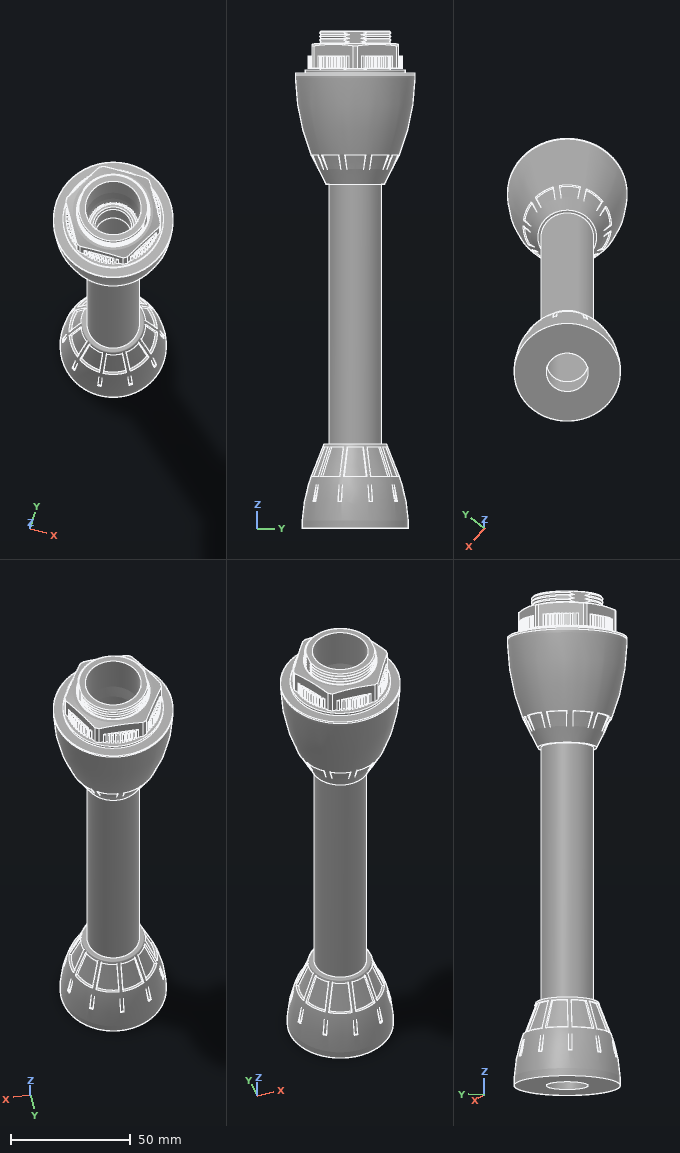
import cadquery as cq
import math

BASE_RIM_TOP = 3.1
BASE_NOTCH_BOTTOM = 11.2
BASE_NOTCH_TOP = 18.7
BASE_SHOULDER = 21.5
BASE_PANEL_TOP = 34.0
BASE_TOP = 35.3
DOME_BOTTOM = 143.6
DOME_PANEL_BOTTOM = 149.8
DOME_SHOULDER = 155.9
NIPPLE_BOTTOM = 161.9
TUBE_TOP = 178.5
DOME_RIM_BOTTOM = 187.8
DOME_TOP = 189.3
FLANGE_TOP = 190.1
WASHER_TOP = 191.4
NUT_BOTTOM = 192.0
GRIP_TOP = 197.2
NUT_TOP = 202.4
TOTAL_HEIGHT = 207.5

OVERCUT = 2.0

TUBE_RADIUS = 11.0
TUBE_BORE = 8.7
TUBE_BOTTOM = 10.4
FERRULE_BORE = 7.7
FERRULE_DEPTH = 12.5
FERRULE_LIP_RADIUS = 9.8
FERRULE_LIP_HEIGHT = 1.2
FERRULE_CHAMFER = 0.8

BASE_RADIUS = 22.2
BASE_MID_RADIUS = 21.0
BASE_MID_HEIGHT = 12.9
BASE_SHOULDER_RADIUS = 18.5
BASE_TOP_RADIUS = 13.0
BASE_TOP_FILLET = 0.6
BASE_RIB_WIDTH = 1.7
BASE_PANEL_DEPTHS = (1.0, 0.8)
BASE_NOTCH_WIDTH = 1.5
BASE_NOTCH_BOTTOM_RADIUS = 20.8
BASE_NOTCH_TOP_RADIUS = 19.5

FLANGE_DIAMETER = 50.0
FLANGE_RADIUS = FLANGE_DIAMETER / 2
DOME_MID_RADIUS = 23.2
DOME_MID_HEIGHT = 171.8
DOME_SHOULDER_RADIUS = 18.5
DOME_BOTTOM_RADIUS = 12.2
DOME_RIB_WIDTH = 2.7
DOME_PANEL_DEPTHS = (0, 0.6)

RIB_COUNT = 10
RIB_PITCH = 360 / RIB_COUNT
FIRST_RIB_ANGLE = 90

THREAD_RADIUS = 15.0
THREAD_ROOT_RADIUS = 14.3
THREAD_PITCH = 1.5
THREAD_FLAT = 14.1
NIPPLE_BARREL_RADIUS = 16.5
NIPPLE_BORE = 11.6
NIPPLE_THROAT = 10.5
NIPPLE_THROAT_TOP = 184.7

WASHER_RADIUS = 21.0

NUT_ACROSS_FLATS = 36.1
NUT_CORNER_DISTANCE = 20.3
NUT_CHAMFER_RADIUS = 16.8
NUT_CHAMFER_ANGLE = 15
NUT_BORE_CHAMFER = 0.5
NUT_SIDES = 6
GRIP_RADIUS = 19.7
GRIP_WIDTH = 15.0
PAD_ANGLE = 90
GROOVE_PITCH = 4.5
GROOVES_PER_SIDE = 9
GROOVE_WIDTH = 0.8
GROOVE_FLOOR = 18.7


def cylinder(radius, bottom, top):
    """Round bar on the Z axis between two levels."""
    return cq.Workplane("XY").workplane(offset=bottom).circle(radius).extrude(top - bottom)


def revolve(profile):
    """Turn a closed profile, drawn as (radius, height), about the Z axis."""
    return profile.close().revolve(360, (0, 0, 0), (0, 1, 0))


def radial_bar(inner, outer, width, bottom, top, angle):
    """Upright bar from one radius to another in the direction of an angle."""
    bar = cq.Workplane("XY").box(outer - inner, width, top - bottom, centered=(False, True, False))
    return bar.translate((inner, 0, bottom)).rotate((0, 0, 0), (0, 0, 1), angle)


def rib_angles():
    return [FIRST_RIB_ANGLE + RIB_PITCH * index for index in range(RIB_COUNT)]


def panel_recess(lower, upper, depths, rib_width):
    """Band under a conical face, from its lower to its upper (radius, height), broken by the ribs.

    The two depths apply at the lower and the upper end.
    """
    (lower_radius, bottom), (upper_radius, top) = lower, upper
    outer = max(lower_radius, upper_radius) + OVERCUT
    band = revolve(
        cq.Workplane("XZ")
        .moveTo(lower_radius - depths[0], bottom)
        .lineTo(outer, bottom)
        .lineTo(outer, top)
        .lineTo(upper_radius - depths[1], top)
    )
    for angle in rib_angles():
        band = band.cut(radial_bar(0, outer + OVERCUT, rib_width, bottom, top, angle))
    return band


def radius_on_line(start, end, height):
    """Radius of a conical face at a height, from its (radius, height) ends."""
    share = (height - start[1]) / (end[1] - start[1])
    return start[0] + share * (end[0] - start[0])


def make_base_notch():
    """Cutter along +X for a shallow notch whose sloping floor runs out through the curved wall."""
    outer = BASE_RADIUS + OVERCUT
    return (
        cq.Workplane("XZ")
        .moveTo(BASE_NOTCH_BOTTOM_RADIUS, BASE_NOTCH_BOTTOM)
        .lineTo(outer, BASE_NOTCH_BOTTOM)
        .lineTo(outer, BASE_NOTCH_TOP)
        .lineTo(BASE_NOTCH_TOP_RADIUS, BASE_NOTCH_TOP)
        .close()
        .extrude(BASE_NOTCH_WIDTH / 2, both=True)
    )


def make_base_cap():
    shoulder = (BASE_SHOULDER_RADIUS, BASE_SHOULDER)
    rim = (BASE_TOP_RADIUS, BASE_TOP)
    cap = revolve(
        cq.Workplane("XZ")
        .lineTo(BASE_RADIUS, 0)
        .lineTo(BASE_RADIUS, BASE_RIM_TOP)
        .threePointArc((BASE_MID_RADIUS, BASE_MID_HEIGHT), shoulder)
        .lineTo(*rim)
        .lineTo(0, BASE_TOP)
    )
    cap = cap.faces(">Z").edges().fillet(BASE_TOP_FILLET)
    cap = cap.cut(cylinder(TUBE_BORE, 0, BASE_TOP))
    cap = cap.cut(cylinder(TUBE_RADIUS, TUBE_BOTTOM, BASE_TOP))
    panel_end = (radius_on_line(shoulder, rim, BASE_PANEL_TOP), BASE_PANEL_TOP)
    cap = cap.cut(panel_recess(shoulder, panel_end, BASE_PANEL_DEPTHS, BASE_RIB_WIDTH))
    notch = make_base_notch()
    for angle in rib_angles():
        cap = cap.cut(notch.rotate((0, 0, 0), (0, 0, 1), angle))
    return cap


def make_tube():
    return cylinder(TUBE_RADIUS, TUBE_BOTTOM, TUBE_TOP).cut(cylinder(TUBE_BORE, TUBE_BOTTOM, TUBE_TOP))


def make_ferrule():
    lip_top = TUBE_TOP + FERRULE_LIP_HEIGHT
    sleeve = cylinder(TUBE_BORE, TUBE_TOP - FERRULE_DEPTH, TUBE_TOP)
    lip = cylinder(FERRULE_LIP_RADIUS, TUBE_TOP, lip_top)
    ferrule = sleeve.union(lip).cut(cylinder(FERRULE_BORE, TUBE_TOP - FERRULE_DEPTH, lip_top))
    mouth = ferrule.faces(">Z").edges(cq.selectors.RadiusNthSelector(0))
    return mouth.chamfer(FERRULE_CHAMFER)


def make_dome_cap():
    bottom = (DOME_BOTTOM_RADIUS, DOME_BOTTOM)
    shoulder = (DOME_SHOULDER_RADIUS, DOME_SHOULDER)
    cap = revolve(
        cq.Workplane("XZ")
        .moveTo(0, DOME_BOTTOM)
        .lineTo(*bottom)
        .lineTo(*shoulder)
        .threePointArc((DOME_MID_RADIUS, DOME_MID_HEIGHT), (FLANGE_RADIUS, DOME_RIM_BOTTOM))
        .lineTo(FLANGE_RADIUS, DOME_TOP)
        .lineTo(0, DOME_TOP)
    )
    cap = cap.cut(cylinder(TUBE_RADIUS, DOME_BOTTOM, DOME_TOP))
    cap = cap.cut(cylinder(NIPPLE_BARREL_RADIUS, NIPPLE_BOTTOM, DOME_TOP))
    panel_start = (radius_on_line(bottom, shoulder, DOME_PANEL_BOTTOM), DOME_PANEL_BOTTOM)
    return cap.cut(panel_recess(panel_start, shoulder, DOME_PANEL_DEPTHS, DOME_RIB_WIDTH))


def make_threaded_neck():
    """Neck with ring-shaped thread crests and a flat on each side along X."""
    profile = cq.Workplane("XZ").moveTo(0, FLANGE_TOP).lineTo(THREAD_ROOT_RADIUS, FLANGE_TOP)
    crest_count = math.floor((TOTAL_HEIGHT - FLANGE_TOP) / THREAD_PITCH)
    first_root = TOTAL_HEIGHT - crest_count * THREAD_PITCH
    for crest in range(crest_count):
        root = first_root + crest * THREAD_PITCH
        profile = profile.lineTo(THREAD_ROOT_RADIUS, root)
        profile = profile.lineTo(THREAD_RADIUS, root + THREAD_PITCH / 2)
    profile = profile.lineTo(THREAD_ROOT_RADIUS, TOTAL_HEIGHT).lineTo(0, TOTAL_HEIGHT)
    flats = (
        cq.Workplane("XY")
        .workplane(offset=FLANGE_TOP)
        .rect(2 * THREAD_FLAT, 4 * THREAD_RADIUS)
        .extrude(TOTAL_HEIGHT - FLANGE_TOP)
    )
    return revolve(profile).intersect(flats)


def make_nipple():
    body = make_threaded_neck()
    body = body.union(cylinder(FLANGE_RADIUS, DOME_TOP, FLANGE_TOP))
    body = body.union(cylinder(NIPPLE_BARREL_RADIUS, NIPPLE_BOTTOM, DOME_TOP))
    bore = revolve(
        cq.Workplane("XZ")
        .moveTo(0, NIPPLE_BOTTOM)
        .lineTo(TUBE_RADIUS, NIPPLE_BOTTOM)
        .lineTo(TUBE_RADIUS, TUBE_TOP)
        .lineTo(NIPPLE_THROAT, TUBE_TOP)
        .lineTo(NIPPLE_THROAT, NIPPLE_THROAT_TOP)
        .lineTo(NIPPLE_BORE, FLANGE_TOP)
        .lineTo(NIPPLE_BORE, TOTAL_HEIGHT)
        .lineTo(0, TOTAL_HEIGHT)
    )
    return body.cut(bore)


def make_washer():
    return cylinder(WASHER_RADIUS, FLANGE_TOP, WASHER_TOP).cut(
        cylinder(THREAD_RADIUS, FLANGE_TOP, WASHER_TOP)
    )


def hexagon(distance, bottom, top, turn):
    """Hexagonal bar with its sides at a distance from the Z axis."""
    corner_circle = 2 * distance / math.cos(math.pi / NUT_SIDES)
    bar = cq.Workplane("XY").workplane(offset=bottom).polygon(NUT_SIDES, corner_circle).extrude(top - bottom)
    return bar.rotate((0, 0, 0), (0, 0, 1), turn)


def make_grip_pad():
    """Grooved pad with a round face, standing on the nut side that faces +Y."""
    side = NUT_ACROSS_FLATS / 2
    pad = (
        cq.Workplane("XY")
        .box(GRIP_WIDTH, GRIP_RADIUS - side + OVERCUT, GRIP_TOP - NUT_BOTTOM, centered=(True, False, False))
        .translate((0, side - OVERCUT, NUT_BOTTOM))
        .intersect(cylinder(GRIP_RADIUS, NUT_BOTTOM, GRIP_TOP))
    )
    outer = GRIP_RADIUS + OVERCUT
    first_angle = PAD_ANGLE - GROOVE_PITCH * (GROOVES_PER_SIDE - 1) / 2
    for groove in range(GROOVES_PER_SIDE):
        angle = first_angle + groove * GROOVE_PITCH
        pad = pad.cut(radial_bar(GROOVE_FLOOR, outer, GROOVE_WIDTH, NUT_BOTTOM, GRIP_TOP, angle))
    return pad


def make_nut():
    nut = hexagon(NUT_ACROSS_FLATS / 2, NUT_BOTTOM, NUT_TOP, 0)
    nut = nut.intersect(hexagon(NUT_CORNER_DISTANCE, NUT_BOTTOM, NUT_TOP, 180 / NUT_SIDES))
    outer = NUT_CORNER_DISTANCE + OVERCUT
    chamfer_drop = (outer - NUT_CHAMFER_RADIUS) * math.tan(math.radians(NUT_CHAMFER_ANGLE))
    cone = revolve(
        cq.Workplane("XZ")
        .moveTo(0, NUT_TOP)
        .lineTo(NUT_CHAMFER_RADIUS, NUT_TOP)
        .lineTo(outer, NUT_TOP - chamfer_drop)
        .lineTo(outer, NUT_BOTTOM)
        .lineTo(0, NUT_BOTTOM)
    )
    nut = nut.intersect(cone)
    pad = make_grip_pad()
    for side in range(NUT_SIDES):
        nut = nut.union(pad.rotate((0, 0, 0), (0, 0, 1), side * 360 / NUT_SIDES))
    nut = nut.cut(cylinder(THREAD_RADIUS, NUT_BOTTOM, NUT_TOP))
    mouth = nut.faces(">Z").edges(cq.selectors.RadiusNthSelector(0))
    return mouth.chamfer(NUT_BORE_CHAMFER)


base_cap = make_base_cap()
tube = make_tube()
ferrule = make_ferrule()
dome_cap = make_dome_cap()
nipple = make_nipple()
washer = make_washer()
lock_nut = make_nut()

result = cq.Compound.makeCompound(
    [
        base_cap.val(),
        tube.val(),
        ferrule.val(),
        dome_cap.val(),
        nipple.val(),
        washer.val(),
        lock_nut.val(),
    ]
)